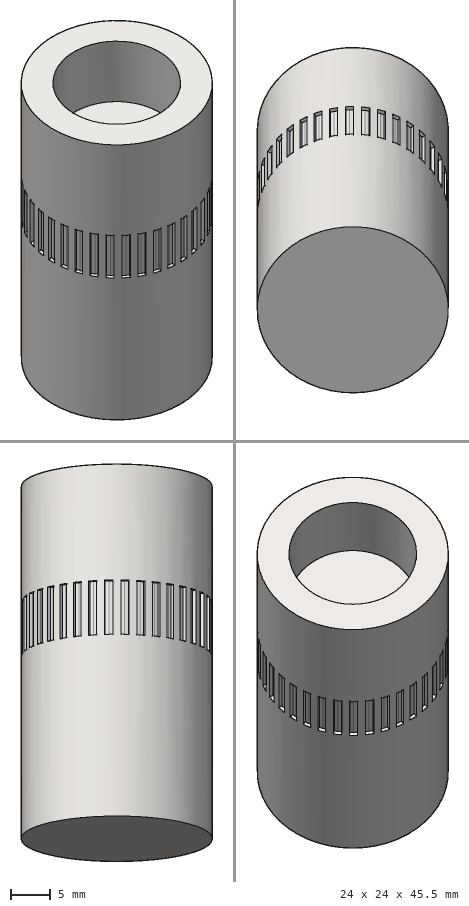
import cadquery as cq
import math

outer_diameter = 24.0
length = 45.5

bore_diameter = 16.0
bore_depth = 10.0

rib_count = 37
rib_width = 1.0
groove_depth = 0.5
band_bottom = 23.5
band_height = 7.0

outer_radius = outer_diameter / 2
rib_pitch = 360.0 / rib_count
core_apothem = outer_radius - groove_depth
core_corner_radius = core_apothem / math.cos(math.radians(rib_pitch / 2))
first_groove_angle = -90.0


def make_body():
    """Plain cylinder with a blind bore in its top face."""
    body = cq.Workplane("XY").circle(outer_radius).extrude(length)
    bore = (
        cq.Workplane("XY")
        .workplane(offset=length - bore_depth)
        .circle(bore_diameter / 2)
        .extrude(bore_depth)
    )
    return body.cut(bore)


def groove_outline(groove_angle):
    """Closed outline of one groove, as a workplane at the bottom of the band.

    The floor is one corner of a regular polygon with a side under every rib.
    Each wall is square to the polygon side it rises from, so ribs have parallel flanks.
    """
    half_rib = rib_width / 2
    wall_top = math.sqrt(outer_radius**2 - half_rib**2)

    def place(distance, offset, side):
        """Point given along and across the middle line of the rib on one side of the groove."""
        angle = math.radians(groove_angle + side * rib_pitch / 2)
        x = distance * math.cos(angle) + side * offset * math.sin(angle)
        y = distance * math.sin(angle) - side * offset * math.cos(angle)
        return (x, y)

    corner_angle = math.radians(groove_angle)
    floor_corner = (
        core_corner_radius * math.cos(corner_angle),
        core_corner_radius * math.sin(corner_angle),
    )
    mouth_middle = (
        outer_radius * math.cos(corner_angle),
        outer_radius * math.sin(corner_angle),
    )
    return (
        cq.Workplane("XY")
        .workplane(offset=band_bottom)
        .moveTo(*place(wall_top, half_rib, -1))
        .lineTo(*place(core_apothem, half_rib, -1))
        .lineTo(*floor_corner)
        .lineTo(*place(core_apothem, half_rib, 1))
        .lineTo(*place(wall_top, half_rib, 1))
        .threePointArc(mouth_middle, place(wall_top, half_rib, -1))
        .close()
    )


def make_grooves():
    """All grooves of the band, evenly spaced around the axis."""
    grooves = cq.Workplane("XY")
    for index in range(rib_count):
        groove_angle = first_groove_angle + index * rib_pitch
        grooves = grooves.add(groove_outline(groove_angle).extrude(band_height))
    return grooves.combine()


result = make_body().cut(make_grooves())